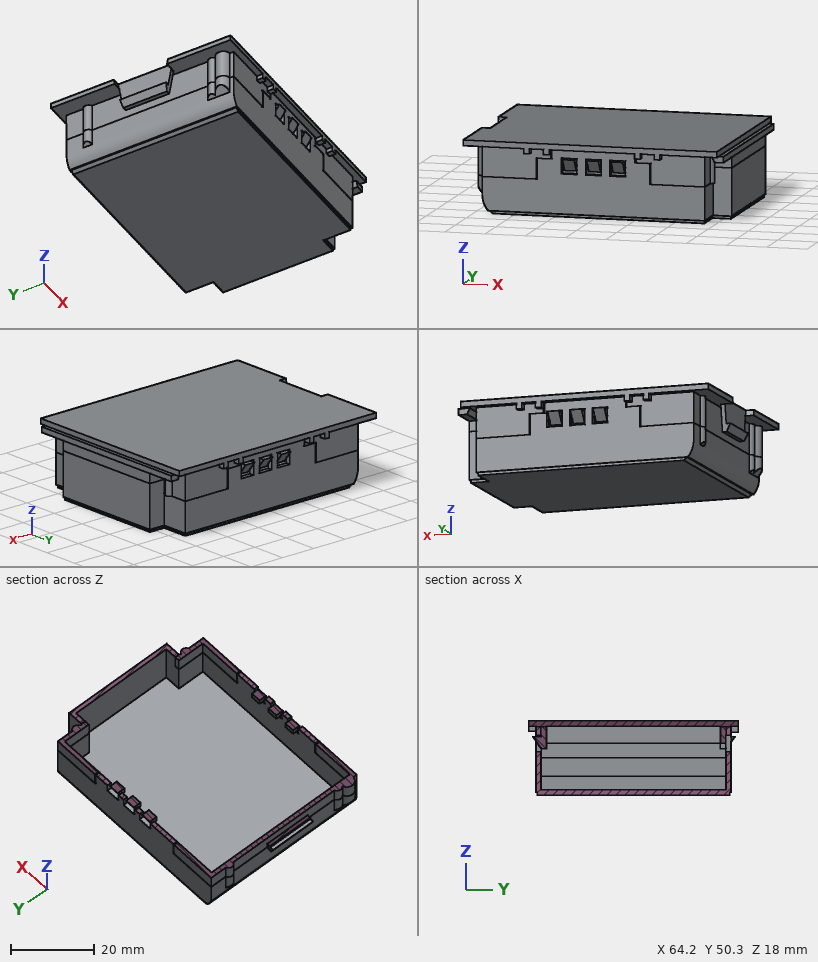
import cadquery as cq


total_height = 18.0
cover_thickness = 1.4
split_height = 9.0
skirt_bottom = 12.5
cover_bottom = total_height - cover_thickness

cover_length = 63.05
cover_width = 50.3
tab_width = 1.4
tab_offsets = [10.6, 15.5]
front_tab_bottom = 15.35
back_tab_bottom = 15.15

latch_face = 2.05
latch_thickness = 1.1
latch_top_half_width = 7.6
latch_bottom_half_width = 6.1
latch_bottom = 10.1
barb_tip = 1.0
barb_top = 12.0

lip_bottom = 15.1
lip_top_start = 61.3
lip_bottom_start = 62.0

wall_left = 4.3
wall_right = 64.2
half_width = 23.45
wall = 1.3
corner_start = 59.65
end_half_width = 15.7

floor_thickness = 1.4
plinth_height = 0.7
plinth_inset = 0.3
round_top = 4.55
round_radius = 5.85
round_foot = 6.95

small_rib_radius = 1.35
small_rib_reach = 0.85
small_rib_y = 17.45
large_rib_radius = 2.0
large_rib_reach = 1.75
large_rib_y = -20.4

tongue_center = 32.0
tongue_half_width = 14.0
opening_half_width = 14.25
shoulder_height = 14.05
neck_left = 21.65
neck_right = 42.2
opening_neck_half_width = tab_offsets[0]

window_size = 3.85
window_bottom = 10.5
hook_width = 2.9
hook_top = 14.1
hook_bottom = 11.2
front_window_center = 31.9
front_window_pitch = 6.05
front_hook_reach = 0.7
back_window_center = 33.95
back_window_pitch = 5.8
back_hook_reach = 0.95

FRONT, BACK = -1, 1
SIDES = (FRONT, BACK)
skirt_face = half_width - wall
inner_face = half_width - 2 * wall


def box(x0, x1, y0, y1, z0, z1):
    """Axis-aligned block between opposite corners; the Y limits may come in either order."""
    block = cq.Workplane("XY").box(x1 - x0, abs(y1 - y0), z1 - z0, centered=False)
    return block.translate((x0, min(y0, y1), z0))


def wall_outline(inset, z):
    """T-shaped plan of the walls, moved inward by a distance."""
    neck = corner_start - inset
    end_y = end_half_width - inset
    side_y = half_width - inset
    points = [
        (wall_left + inset, -side_y), (neck, -side_y), (neck, -end_y), (wall_right - inset, -end_y),
        (wall_right - inset, end_y), (neck, end_y), (neck, side_y), (wall_left + inset, side_y),
    ]
    return cq.Workplane("XY").workplane(offset=z).polyline(points).close()


def wall_prism(inset, z0, z1):
    return wall_outline(inset, z0).extrude(z1 - z0)


def rib(wall_x, outward, y, radius, reach, z0, z1):
    """Round column standing out of a wall by its reach; outward is -1 or +1 along X."""
    center_x = wall_x + outward * (reach - radius)
    column = cq.Workplane("XY").workplane(offset=z0).center(center_x, y).circle(radius).extrude(z1 - z0)
    far_x = wall_x + outward * 2 * radius
    return column.intersect(box(min(wall_x, far_x), max(wall_x, far_x), y - radius, y + radius, z0, z1))


def left_ribs(z0, z1):
    """Ribs on the left wall, with undersides that slope into the wall at 45 degrees."""
    columns = rib(wall_left, -1, large_rib_y, large_rib_radius, large_rib_reach, z0, z1)
    for side in SIDES:
        columns = columns.union(
            rib(wall_left, -1, side * small_rib_y, small_rib_radius, small_rib_reach, z0, z1)
        )
    below_slope = (
        cq.Workplane("XZ")
        .polyline([(0, round_top), (wall_left, round_top), (0, round_top + wall_left)])
        .close()
        .extrude(half_width, both=True)
    )
    return columns.cut(below_slope)


def window_centers(side):
    middle, pitch = (
        (front_window_center, front_window_pitch) if side == FRONT
        else (back_window_center, back_window_pitch)
    )
    return [middle - pitch, middle, middle + pitch]


def stepped_block(lower_x0, lower_x1, upper_x0, upper_x1, side):
    """Wall-thick block that narrows at the shoulder."""
    y0, y1 = side * skirt_face, side * half_width
    lower = box(lower_x0, lower_x1, y0, y1, split_height, shoulder_height)
    return lower.union(box(upper_x0, upper_x1, y0, y1, split_height, cover_bottom))


def make_housing():
    """Open tray with rounded left foot, stepped plinth, side tongues and end tongue."""
    plinth = wall_prism(plinth_inset, 0, plinth_height)
    body = plinth.union(wall_prism(0, plinth_height, split_height))

    drop = round_top - plinth_height
    round_end = wall_left + round_radius - (round_radius**2 - drop**2) ** 0.5
    middle_drop = drop / 2
    round_middle = wall_left + round_radius - (round_radius**2 - middle_drop**2) ** 0.5
    profile = (
        cq.Workplane("XZ")
        .moveTo(wall_left, split_height)
        .lineTo(wall_left, round_top)
        .threePointArc((round_middle, round_top - middle_drop), (round_end, plinth_height))
        .lineTo(round_end + plinth_inset, plinth_height)
        .lineTo(round_foot, 0)
        .lineTo(wall_right, 0)
        .lineTo(wall_right, split_height)
        .close()
        .extrude(half_width, both=True)
    )
    body = body.intersect(profile)

    foot_clearance = box(wall_left, round_foot + wall, -half_width, half_width, 0, round_top)
    cavity = wall_prism(wall, floor_thickness, split_height).cut(foot_clearance)
    body = body.cut(cavity).union(left_ribs(round_top, split_height))

    end_ring = wall_prism(0, split_height, skirt_bottom).cut(wall_prism(wall, split_height, skirt_bottom))
    end_zone = box(corner_start, wall_right, -end_half_width, end_half_width, split_height, skirt_bottom)
    body = body.union(end_ring.intersect(end_zone))

    for side in SIDES:
        tongue = stepped_block(
            tongue_center - tongue_half_width, tongue_center + tongue_half_width,
            neck_left, neck_right, side,
        )
        for x in window_centers(side):
            tongue = tongue.cut(
                box(
                    x - window_size / 2, x + window_size / 2, side * skirt_face, side * half_width,
                    window_bottom, window_bottom + window_size,
                )
            )
        body = body.union(tongue)
    return body


def hook(x, side):
    """Arm below the skirt with a wedge that points outward through a window."""
    reach = front_hook_reach if side == FRONT else back_hook_reach
    tip_y = side * (half_width + reach)
    root_y = side * skirt_face
    back_y = side * inner_face
    return (
        cq.Workplane("YZ")
        .workplane(offset=x - hook_width / 2)
        .polyline([(back_y, hook_top), (tip_y, hook_top), (root_y, hook_bottom), (back_y, hook_bottom)])
        .close()
        .extrude(hook_width)
    )


def make_lip():
    """Bar under the right edge of the cover, slanted on its inner side."""
    return (
        cq.Workplane("XZ")
        .polyline([
            (lip_top_start, cover_bottom), (lip_bottom_start, lip_bottom),
            (wall_right, lip_bottom), (wall_right, cover_bottom),
        ])
        .close()
        .extrude(half_width, both=True)
    )


def make_frame():
    """Ring between housing and cover, with an inner skirt and hooks."""
    outer = wall_prism(0, split_height, cover_bottom)
    ring = outer.cut(wall_prism(wall, split_height, skirt_bottom))
    ring = ring.cut(wall_prism(2 * wall, skirt_bottom, cover_bottom))
    ring = ring.union(left_ribs(split_height, cover_bottom))
    for side in SIDES:
        ring = ring.union(
            rib(corner_start, 1, side * small_rib_y, small_rib_radius, small_rib_reach,
                split_height, cover_bottom)
        )

    ring = ring.cut(
        box(corner_start, wall_right, -end_half_width, end_half_width, split_height, skirt_bottom)
    )
    ring = ring.cut(make_lip())

    for side in SIDES:
        ring = ring.cut(
            stepped_block(
                tongue_center - opening_half_width, tongue_center + opening_half_width,
                tongue_center - opening_neck_half_width, tongue_center + opening_neck_half_width, side,
            )
        )
        for x in window_centers(side):
            ring = ring.union(hook(x, side))
    return ring


def make_latch():
    """Tapered latch that hangs from the cover in front of the left wall, with a barb at its foot."""
    latch_back = latch_face + latch_thickness
    side_profile = (
        cq.Workplane("XZ")
        .polyline([
            (latch_back, total_height), (latch_face, total_height), (latch_face, barb_top),
            (barb_tip, barb_top), (latch_face, latch_bottom), (latch_back, latch_bottom),
        ])
        .close()
        .extrude(latch_top_half_width, both=True)
    )
    return side_profile.intersect(latch_taper(latch_back))


def latch_taper(depth):
    """Trapezoid seen along X, from the cover's left edge inward."""
    return (
        cq.Workplane("YZ")
        .polyline([
            (-latch_top_half_width, total_height), (latch_top_half_width, total_height),
            (latch_bottom_half_width, latch_bottom), (-latch_bottom_half_width, latch_bottom),
        ])
        .close()
        .extrude(depth)
    )


def make_cover():
    """Flat cover with edge tabs, a notched left edge with its latch, and the right lip."""
    half_cover = cover_width / 2
    cover = box(0, cover_length, -half_cover, half_cover, cover_bottom, total_height)
    cover = cover.cut(latch_taper(latch_face)).union(make_latch()).union(make_lip())
    for side, bottom in ((FRONT, front_tab_bottom), (BACK, back_tab_bottom)):
        for offset in tab_offsets:
            for x in (tongue_center - offset - tab_width, tongue_center + offset):
                tab = box(x, x + tab_width, side * half_width, side * half_cover, bottom, cover_bottom)
                cover = cover.union(tab)
    return cover


housing = make_housing()
frame = make_frame()
cover = make_cover()
result = cq.Compound.makeCompound([body.solids().val() for body in (housing, frame, cover)])